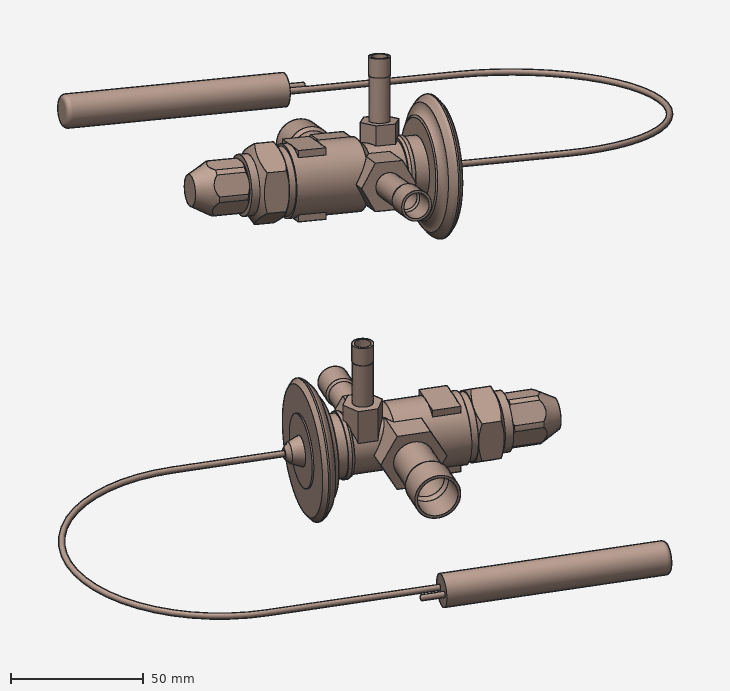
import cadquery as cq
import math


CAP_TIP_R, CAP_R = 6.1, 10.5
CAP_FLAT = 9.5
CAP_TURN = 10
CAP_CONE_TOP, CAP_TOP = 8.0, 20.5
CAP_CHAMFER = 0.9
COLLAR_R, COLLAR_TOP = 11.8, 23.8
NUT_FLATS, NUT_TOP, NUT_CHAMFER, NUT_CONE_HEIGHT = 27.5, 35.0, 1.3, 2.2
NUT_TURN = 30
NECK_R, NECK_TOP = 13.3, 37.8
BODY_R, BODY_TOP = 14.2, 66.8
SHOULDER_TOP = 69.5
UPPER_R, UPPER_TOP = 11.5, 83.4
RING_R, RING_BOTTOM, RING_TOP = 13.0, 84.5, 86.0
RING_CHAMFER = 0.7
STEM_R = 12.5

PAD_WIDTH, PAD_HALF_HEIGHT = 17.5, 14.0
PAD_BOTTOM, PAD_TOP = 40.4, 51.5

HEAD_BOTTOM, HEAD_TOP, PLATEAU_TOP = 91.7, 100.2, 100.8
HEAD_TOP_R, PLATEAU_R = 25.5, 14.5
RIM_R, RIM_SIDE_BOTTOM, RIM_TOP = 27.5, 97.8, 98.5
RIM_LIP_R, RIM_LIP_Y = 26.8, 96.7
STEP_R, STEP_BOTTOM = 24.7, 94.7
SKIRT_R, SKIRT_BOTTOM, HEAD_BOTTOM_R = 20.0, 92.1, 19.2
KNOB_R, KNOB_MID_R, KNOB_TOP_R = 6.1, 4.1, 2.2
KNOB_MID_Y, KNOB_TOP = 105.5, 107.5

INLET_Y, INLET_BLOCK_FLATS, INLET_BLOCK_END = 62.5, 22.7, 19.9
OUTLET_Y, OUTLET_BLOCK_FLATS, OUTLET_BLOCK_END = 72.5, 19.0, 20.3
INLET_TUBE_D, INLET_BORE_D, INLET_SOCKET_D, INLET_SOCKET_BORE_D = 16.0, 14.0, 18.1, 16.0
OUTLET_TUBE_D, OUTLET_BORE_D, OUTLET_SOCKET_D, OUTLET_SOCKET_BORE_D = 10.5, 8.7, 12.0, 10.0
TUBE_END = 50.2
INLET_SOCKET_LENGTH, OUTLET_SOCKET_LENGTH = 12.0, 10.3
INLET_FLARE, OUTLET_FLARE = 2.0, 1.0

EQUALIZER_X, EQUALIZER_Y = -3.5, 77.5
EQUALIZER_FLATS, EQUALIZER_BLOCK_END = 13.5, 19.0
EQUALIZER_TUBE_D, EQUALIZER_BORE_D = 8.0, 6.0
EQUALIZER_SOCKET_D, EQUALIZER_SOCKET_BORE_D = 8.3, 6.3
EQUALIZER_END, EQUALIZER_SOCKET_LENGTH, EQUALIZER_FLARE = 44.0, 7.5, 0

BULB_X, BULB_D = -121.8, 13.0
BULB_BOTTOM, BULB_TOP, BULB_ROUND = -6.1, 83.2, 2.0
PIN_X, PIN_D, PIN_LENGTH, PIN_ROUND = -125.0, 2.5, 9.4, 0.7
OVERALL_LENGTH = 218.3
CAPILLARY_D, CAPILLARY_BEND_R = 2.5, 59.5
BEND_CENTER_Y = BULB_BOTTOM + OVERALL_LENGTH - CAPILLARY_BEND_R - CAPILLARY_D / 2


def turned(profile):
    """Solid of revolution about the Y axis from (radius, height) points."""
    return cq.Workplane("XY").polyline(profile).close().revolve(360, (0, 0, 0), (0, 1, 0))


def cylinder_y(x, bottom, top, diameter):
    """Cylinder parallel to the Y axis at the given X."""
    plane = cq.Plane(origin=(x, bottom, 0), xDir=(1, 0, 0), normal=(0, 1, 0))
    return cq.Workplane(plane).circle(diameter / 2).extrude(top - bottom)


def hexagon_y(bottom, top, flats, turn):
    """Hexagonal prism along Y; with no turn, two corners lie on the X axis."""
    corner_d = flats / math.cos(math.pi / 6)
    plane = cq.Plane(origin=(0, bottom, 0), xDir=(1, 0, 0), normal=(0, 1, 0))
    prism = cq.Workplane(plane).polygon(6, corner_d).extrude(top - bottom)
    return prism.rotate((0, 0, 0), (0, 1, 0), turn)


def make_cap():
    chamfered = turned([
        (0, 0),
        (CAP_TIP_R, 0),
        (CAP_R, CAP_CONE_TOP),
        (CAP_R, CAP_TOP - CAP_CHAMFER),
        (CAP_R - CAP_CHAMFER, CAP_TOP),
        (0, CAP_TOP),
    ])
    return chamfered.intersect(hexagon_y(0, CAP_TOP, 2 * CAP_FLAT, CAP_TURN))


def make_nut():
    flat_r = NUT_FLATS / 2
    corner_r = flat_r / math.cos(math.pi / 6)
    chamfered = turned([
        (0, COLLAR_TOP),
        (COLLAR_R, COLLAR_TOP),
        (corner_r, COLLAR_TOP + NUT_CONE_HEIGHT),
        (corner_r, NUT_TOP - NUT_CHAMFER),
        (flat_r, NUT_TOP),
        (0, NUT_TOP),
    ])
    return chamfered.intersect(hexagon_y(COLLAR_TOP, NUT_TOP, NUT_FLATS, NUT_TURN))


def make_body():
    """Collar, neck, body, ring and stem as one turned profile."""
    return turned([
        (0, CAP_TOP),
        (COLLAR_R, CAP_TOP),
        (COLLAR_R, NUT_TOP),
        (NECK_R, NUT_TOP),
        (NECK_R, NECK_TOP),
        (BODY_R, NECK_TOP),
        (BODY_R, BODY_TOP),
        (UPPER_R, SHOULDER_TOP),
        (UPPER_R, UPPER_TOP),
        (RING_R - RING_CHAMFER, UPPER_TOP),
        (RING_R, RING_BOTTOM),
        (RING_R, RING_TOP),
        (STEM_R, RING_TOP),
        (STEM_R, HEAD_BOTTOM),
        (0, HEAD_BOTTOM),
    ])


def make_head():
    """Diaphragm head with a rounded skirt below and the capillary knob on top."""
    run = STEP_R - SKIRT_R
    drop = STEP_BOTTOM - SKIRT_BOTTOM
    skirt_round = (run ** 2 + drop ** 2) / (2 * drop)
    half_angle = math.atan2(drop, run)
    arc_middle = (
        STEP_R - skirt_round * math.sin(half_angle),
        STEP_BOTTOM - skirt_round * (1 - math.cos(half_angle)),
    )
    profile = (
        cq.Workplane("XY")
        .moveTo(0, HEAD_BOTTOM)
        .lineTo(HEAD_BOTTOM_R, HEAD_BOTTOM)
        .lineTo(SKIRT_R, SKIRT_BOTTOM)
        .threePointArc(arc_middle, (STEP_R, STEP_BOTTOM))
        .lineTo(RIM_LIP_R, RIM_LIP_Y)
        .lineTo(RIM_R, RIM_SIDE_BOTTOM)
        .lineTo(RIM_R, RIM_TOP)
        .lineTo(HEAD_TOP_R, HEAD_TOP)
        .lineTo(PLATEAU_R, HEAD_TOP)
        .lineTo(PLATEAU_R, PLATEAU_TOP)
        .lineTo(KNOB_R, PLATEAU_TOP)
        .lineTo(KNOB_MID_R, KNOB_MID_Y)
        .lineTo(KNOB_TOP_R, KNOB_TOP)
        .lineTo(0, KNOB_TOP)
        .close()
    )
    return profile.revolve(360, (0, 0, 0), (0, 1, 0))


def add_label_pads(body):
    """Level the body between the pad edges to a flat above and below."""
    height = PAD_TOP - PAD_BOTTOM
    middle = (0, (PAD_BOTTOM + PAD_TOP) / 2, 0)
    window = cq.Workplane("XY").box(PAD_WIDTH, height, 3 * BODY_R).translate(middle)
    pads = cq.Workplane("XY").box(PAD_WIDTH, height, 2 * PAD_HALF_HEIGHT).translate(middle)
    return body.cut(window).union(pads)


def make_block(plane, flats, length):
    """Hexagonal block along the plane normal, with two corners in line with the Y axis."""
    corner_d = flats / math.cos(math.pi / 6)
    return cq.Workplane(plane).polygon(6, corner_d).extrude(length)


def make_tube(plane, start, end, tube_d, bore_d, socket_d, socket_bore_d, socket_length, flare):
    """Open tube along the plane normal, flared at its end into a solder socket."""
    socket_start = end - socket_length
    profile = [
        (bore_d / 2, start),
        (tube_d / 2, start),
        (tube_d / 2, socket_start - flare),
        (socket_d / 2, socket_start),
        (socket_d / 2, end),
        (socket_bore_d / 2, end),
        (socket_bore_d / 2, socket_start),
        (bore_d / 2, socket_start - flare),
    ]
    side = cq.Plane(origin=plane.origin, xDir=plane.xDir, normal=-plane.yDir)
    return cq.Workplane(side).polyline(profile).close().revolve(360, (0, 0, 0), (0, 1, 0))


def make_inlet():
    plane = cq.Plane(origin=(0, INLET_Y, 0), xDir=(0, 1, 0), normal=(-1, 0, 0))
    tube = make_tube(plane, INLET_BLOCK_END, TUBE_END, INLET_TUBE_D, INLET_BORE_D,
                     INLET_SOCKET_D, INLET_SOCKET_BORE_D, INLET_SOCKET_LENGTH, INLET_FLARE)
    return make_block(plane, INLET_BLOCK_FLATS, INLET_BLOCK_END).union(tube)


def make_outlet():
    plane = cq.Plane(origin=(0, OUTLET_Y, 0), xDir=(0, 1, 0), normal=(1, 0, 0))
    tube = make_tube(plane, OUTLET_BLOCK_END, TUBE_END, OUTLET_TUBE_D, OUTLET_BORE_D,
                     OUTLET_SOCKET_D, OUTLET_SOCKET_BORE_D, OUTLET_SOCKET_LENGTH, OUTLET_FLARE)
    return make_block(plane, OUTLET_BLOCK_FLATS, OUTLET_BLOCK_END).union(tube)


def make_equalizer():
    plane = cq.Plane(origin=(EQUALIZER_X, EQUALIZER_Y, 0), xDir=(0, 1, 0), normal=(0, 0, 1))
    tube = make_tube(plane, EQUALIZER_BLOCK_END, EQUALIZER_END, EQUALIZER_TUBE_D, EQUALIZER_BORE_D,
                     EQUALIZER_SOCKET_D, EQUALIZER_SOCKET_BORE_D, EQUALIZER_SOCKET_LENGTH,
                     EQUALIZER_FLARE)
    return make_block(plane, EQUALIZER_FLATS, EQUALIZER_BLOCK_END).union(tube)


def make_capillary():
    """Thin tube from the head knob, over a half circle, down into the bulb."""
    far_x = -2 * CAPILLARY_BEND_R
    start_y = (PLATEAU_TOP + KNOB_TOP) / 2
    end_y = BULB_TOP - BULB_ROUND
    path = (
        cq.Workplane("XY")
        .moveTo(0, start_y)
        .lineTo(0, BEND_CENTER_Y)
        .threePointArc((far_x / 2, BEND_CENTER_Y + CAPILLARY_BEND_R), (far_x, BEND_CENTER_Y))
        .lineTo(far_x, end_y)
    )
    plane = cq.Plane(origin=(0, start_y, 0), xDir=(1, 0, 0), normal=(0, 1, 0))
    return cq.Workplane(plane).circle(CAPILLARY_D / 2).sweep(path)


def make_bulb():
    bulb = cylinder_y(BULB_X, BULB_BOTTOM, BULB_TOP, BULB_D).faces("<Y").edges().fillet(BULB_ROUND)
    pin = cylinder_y(PIN_X, BULB_TOP, BULB_TOP + PIN_LENGTH, PIN_D)
    return bulb.union(pin.faces(">Y").edges().fillet(PIN_ROUND))


result = (
    add_label_pads(make_body())
    .union(make_head())
    .union(make_cap())
    .union(make_nut())
    .union(make_inlet())
    .union(make_outlet())
    .union(make_equalizer())
    .union(make_capillary())
    .union(make_bulb())
)